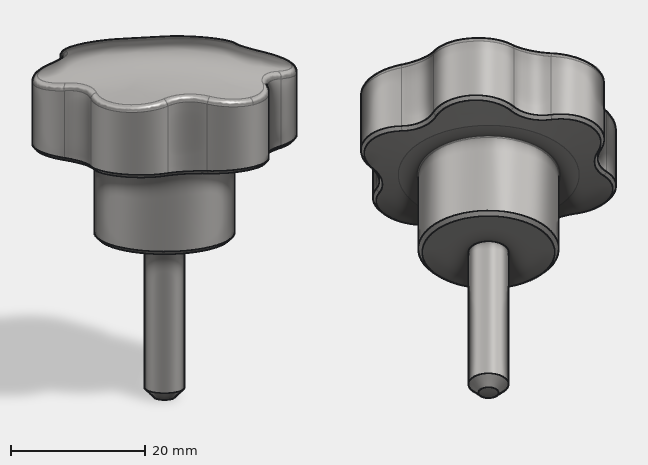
import cadquery as cq
import math

total_height = 53.0
boss_bottom = 25.0
head_bottom = 38.85

stud_diameter = 6.0
stud_tip_chamfer = 1.5

boss_diameter = 21.0
boss_chamfer = 0.6
boss_root_fillet = 0.2

lobe_count = 6
lobe_circle_radius = 13.0
lobe_radius = 7.0
valley_radius = 6.0
head_radius = lobe_circle_radius + lobe_radius

dome_radius = 80.0
underside_flat_radius = 13.5
underside_rise = 0.67
top_edge_fillet = 1.0
bottom_edge_chamfer = 0.5


def polar(radius, angle):
    return (radius * math.cos(angle), radius * math.sin(angle))


def head_outline():
    """Closed lobed outline in XY, with one lobe centred on +X."""
    pitch = 2 * math.pi / lobe_count
    half_pitch = pitch / 2
    half_chord = lobe_circle_radius * math.sin(half_pitch)
    valley_circle_radius = lobe_circle_radius * math.cos(half_pitch) + math.sqrt(
        (lobe_radius + valley_radius) ** 2 - half_chord**2
    )
    valley_bottom_radius = valley_circle_radius - valley_radius

    share = lobe_radius / (lobe_radius + valley_radius)
    valley_x, valley_y = polar(valley_circle_radius, half_pitch)
    tangent_x = lobe_circle_radius + share * (valley_x - lobe_circle_radius)
    tangent_y = share * valley_y
    tangent_radius = math.hypot(tangent_x, tangent_y)
    tangent_angle = math.atan2(tangent_y, tangent_x)

    outline = cq.Workplane("XY").moveTo(*polar(tangent_radius, -tangent_angle))
    for index in range(lobe_count):
        lobe_angle = index * pitch
        outline = outline.threePointArc(
            polar(head_radius, lobe_angle),
            polar(tangent_radius, lobe_angle + tangent_angle),
        )
        outline = outline.threePointArc(
            polar(valley_bottom_radius, lobe_angle + half_pitch),
            polar(tangent_radius, lobe_angle + pitch - tangent_angle),
        )
    return outline.close()


def head_envelope():
    """Turned blank whose top is the dome and whose bottom is the head underside."""
    blank_radius = head_radius + lobe_radius
    underside_slope = underside_rise / (head_radius - underside_flat_radius)
    rim_bottom = head_bottom + underside_slope * (blank_radius - underside_flat_radius)

    def dome_height(radius):
        return total_height - dome_radius + math.sqrt(dome_radius**2 - radius**2)

    return (
        cq.Workplane("XZ")
        .moveTo(0, head_bottom)
        .lineTo(underside_flat_radius, head_bottom)
        .lineTo(blank_radius, rim_bottom)
        .lineTo(blank_radius, dome_height(blank_radius))
        .threePointArc((blank_radius / 2, dome_height(blank_radius / 2)), (0, total_height))
        .close()
        .revolve(360, (0, 0, 0), (0, 1, 0))
    )


def make_head():
    prism = head_outline().extrude(total_height)
    head = prism.intersect(head_envelope())
    head = head.faces(">Z").edges().fillet(top_edge_fillet)
    rim = head.faces("%CONE").edges("not %CIRCLE")
    return rim.chamfer(bottom_edge_chamfer)


def make_boss():
    """Turned boss with a chamfered lower edge and a concave fillet at its root under the head."""
    boss_radius = boss_diameter / 2
    root_radius = boss_radius + boss_root_fillet
    root_bottom = head_bottom - boss_root_fillet
    arc_inset = boss_root_fillet * math.cos(math.pi / 4)
    return (
        cq.Workplane("XZ")
        .moveTo(0, boss_bottom)
        .lineTo(boss_radius - boss_chamfer, boss_bottom)
        .lineTo(boss_radius, boss_bottom + boss_chamfer)
        .lineTo(boss_radius, root_bottom)
        .threePointArc((root_radius - arc_inset, root_bottom + arc_inset), (root_radius, head_bottom))
        .lineTo(0, head_bottom)
        .close()
        .revolve(360, (0, 0, 0), (0, 1, 0))
    )


def make_stud():
    return (
        cq.Workplane("XY")
        .circle(stud_diameter / 2)
        .extrude(boss_bottom)
        .faces("<Z")
        .chamfer(stud_tip_chamfer)
    )


result = make_head().union(make_boss()).union(make_stud())